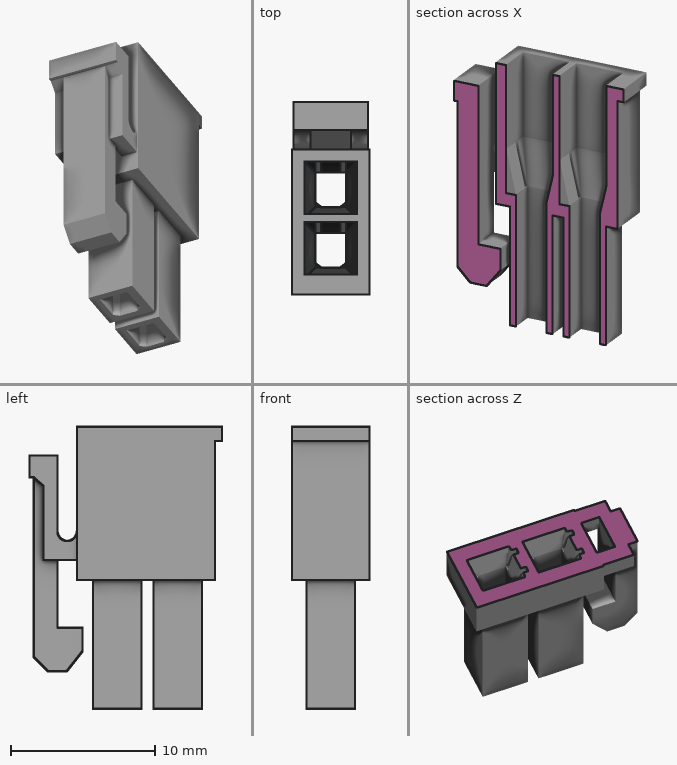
import cadquery as cq


body_width = 5.4
body_depth = 9.6
body_height = 10.65
lip_overhang = 0.5
lip_height = 1.0

total_height = 19.6
prong_size = 3.4
circuit_pitch = 4.2
circuit_count = 2
first_prong_y = -2.81

first_cavity_y = -2.68
cavity_size = 3.66
passage_width = 2.12
funnel_height = 3.3
floor_thickness = 1.0
funnel_bottom_z = floor_thickness - body_height
funnel_top_z = funnel_bottom_z + funnel_height
funnel_inset = (cavity_size - passage_width) / 2
front_inset = 0.5
corner_cut_x = 0.38
corner_cut_y = 0.3
notch_width = corner_cut_x

latch_width = 5.2
arm_width = 3.2
lever_opening_width = 2.8
latch_reach = 3.3
arm_outer_y = 3.0
lever_outer_y = 2.3
gap = 1.33
latch_top_z = -2.0
pad_bottom_z = -3.53
pad_slope_drop = 0.6
gap_bottom_z = -7.93
pivot_bottom_z = -9.27
hook_top_z = -13.95
hook_inner_y = -0.4
hook_inner_z = -15.6
hook_outer_z = -16.0
hook_tip_z = -17.0
hook_tip_outer_y = 2.0
hook_tip_inner_y = 0.7


def block(width, y_front, y_back, z_low, z_high):
    """Box centred on X that spans the given Y and Z ranges."""
    return (
        cq.Workplane("XY")
        .box(width, y_back - y_front, z_high - z_low, centered=(True, False, False))
        .translate((0, y_front, z_low))
    )


def extrude_across(profile, width):
    """Extrude a closed YZ profile symmetrically about X = 0."""
    return profile.close().extrude(width / 2, both=True)


def make_body():
    shell = block(body_width, -body_depth, 0, -body_height, 0)
    lip = block(body_width, -body_depth - lip_overhang, 0, -lip_height, 0)
    return shell.union(lip)


def make_prong(index):
    y = first_prong_y - index * circuit_pitch
    half = prong_size / 2
    return block(prong_size, y - half, y + half, -total_height, -body_height)


def make_funnel(y_front, y_back):
    """Equal slopes on four sides; the front slope starts lower than the others."""
    front_delay = funnel_inset - front_inset
    mouth_front = y_front - front_delay
    mouth_length = y_back - mouth_front
    passage_length = mouth_length - 2 * funnel_inset
    taper = (
        cq.Workplane("XY", origin=(0, (mouth_front + y_back) / 2, funnel_top_z))
        .rect(cavity_size, mouth_length)
        .workplane(offset=-funnel_height)
        .rect(passage_width, passage_length)
        .loft()
    )
    return taper.intersect(block(cavity_size, y_front, y_back, funnel_bottom_z, funnel_top_z))


def make_passage(y_front, y_back):
    """Passage through the prong with its two front corners cut off."""
    half = passage_width / 2
    outline = [
        (-half, y_back),
        (half, y_back),
        (half, y_front + corner_cut_y),
        (half - corner_cut_x, y_front),
        (corner_cut_x - half, y_front),
        (-half, y_front + corner_cut_y),
    ]
    passage = cq.Workplane("XY", origin=(0, 0, -total_height)).polyline(outline).close()
    return passage.extrude(total_height + funnel_bottom_z)


def make_cavity(index):
    y = first_cavity_y - index * circuit_pitch
    y_front = y - cavity_size / 2
    y_back = y + cavity_size / 2
    passage_back = y_back - funnel_inset

    cavity = block(cavity_size, y_front, y_back, funnel_top_z, 0)
    cavity = cavity.union(make_funnel(y_front, y_back))
    cavity = cavity.union(make_passage(y_front + front_inset, passage_back))

    notch = block(notch_width, passage_back, y_back, funnel_bottom_z, funnel_top_z)
    notch_x = (passage_width - notch_width) / 2
    for side in (-1, 1):
        cavity = cavity.union(notch.translate((side * notch_x, 0, 0)))
    return cavity


def make_lever():
    """Wide thumb lever and the pivots joining it to the body, parted at the centre."""
    gap_radius = gap / 2
    gap_center_z = gap_bottom_z + gap_radius
    profile = (
        cq.Workplane("YZ")
        .moveTo(gap, latch_top_z)
        .lineTo(latch_reach, latch_top_z)
        .lineTo(latch_reach, pad_bottom_z)
        .lineTo(arm_outer_y, pad_bottom_z)
        .lineTo(lever_outer_y, pad_bottom_z - pad_slope_drop)
        .lineTo(lever_outer_y, pivot_bottom_z)
        .lineTo(0, pivot_bottom_z)
        .lineTo(0, gap_center_z)
        .threePointArc((gap_radius, gap_bottom_z), (gap, gap_center_z))
    )
    opening = block(lever_opening_width, 0, gap, pivot_bottom_z, latch_top_z)
    return extrude_across(profile, latch_width).cut(opening)


def make_hook_arm():
    profile = cq.Workplane("YZ").polyline([
        (gap, latch_top_z),
        (arm_outer_y, latch_top_z),
        (arm_outer_y, hook_outer_z),
        (hook_tip_outer_y, hook_tip_z),
        (hook_tip_inner_y, hook_tip_z),
        (hook_inner_y, hook_inner_z),
        (hook_inner_y, hook_top_z),
        (gap, hook_top_z),
    ])
    return extrude_across(profile, arm_width)


result = make_body().union(make_lever()).union(make_hook_arm())
for circuit in range(circuit_count):
    result = result.union(make_prong(circuit))
for circuit in range(circuit_count):
    result = result.cut(make_cavity(circuit))